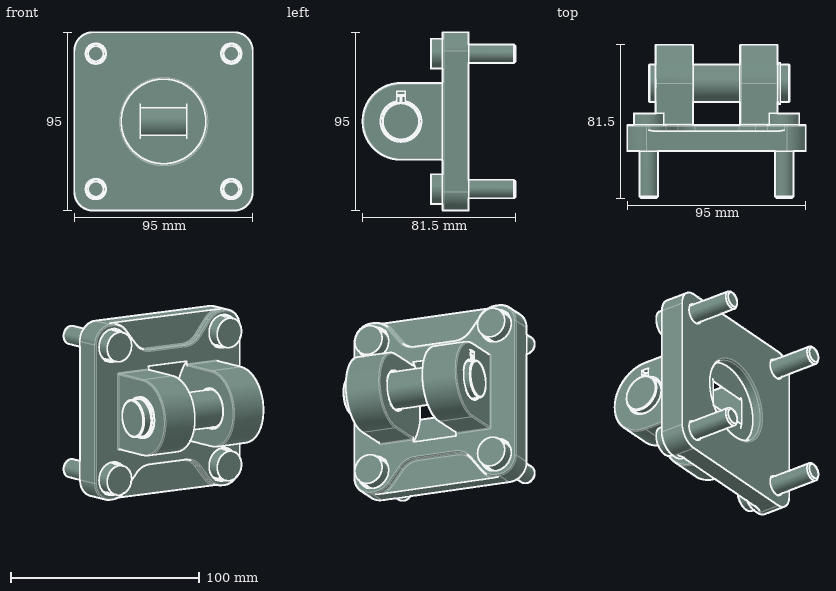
import cadquery as cq
import math

plate_side = 95.0
plate_thickness = 14.0
corner_radius = 10.1
edge_round = 0.7

axis_y = 36.0
lug_radius = 20.5
lug_gap = 24.9
lug_width = 20.0
lug_inner_x = lug_gap / 2
lug_outer_x = lug_inner_x + lug_width
lug_round = 0.6
lug_foot_fillet = 0.5
pin_hole_chamfer = 0.95

recess_diameter = 45.0
recess_depth = 5.5
recess_round = 0.95
window_height = 14.7
clearance_radius = math.hypot(axis_y - recess_depth, window_height / 2)

bolt_offset = 36.0
bolt_diameter = 10.0
bolt_hole_diameter = 11.0
counterbore_diameter = 18.0
head_diameter = 16.0
head_top_y = 20.0
bolt_tip_y = -25.0
bolt_chamfer = 0.95

pocket_floor_y = 10.45
boss_radius = plate_side / 2 - bolt_offset
flank_angle = math.radians(51)
pocket_half_length = 11.7
pocket_overrun = 9.5

pin_diameter = 20.0
pin_left_x = -36.0
pin_right_x = 38.9
pin_chamfer = 0.5
collar_diameter = 22.0
collar_width = 1.2
collar_gap = 0.2

spring_pin_diameter = 4.4
spring_pin_bore = 1.8
spring_pin_slit = 0.8
spring_pin_x = -30.5
spring_pin_top = 14.1
spring_pin_bottom = 0.0
spring_pin_chamfer = 0.8
notch_top = 16.1
notch_inner_x = spring_pin_x + spring_pin_diameter / 2

smallest_circle = cq.selectors.RadiusNthSelector(0)
largest_circle = cq.selectors.RadiusNthSelector(-1)
select_margin = 0.1

bolt_positions = [(x, z) for x in (-bolt_offset, bolt_offset) for z in (-bolt_offset, bolt_offset)]


def cylinder_y(diameter, y_start, y_end, x=0, z=0):
    base = cq.Plane(origin=(x, y_start, z), xDir=(1, 0, 0), normal=(0, 1, 0))
    return cq.Workplane(base).circle(diameter / 2).extrude(y_end - y_start)


def cylinder_x(diameter, x_start, x_end):
    base = cq.Plane(origin=(x_start, axis_y, 0), xDir=(0, 1, 0), normal=(1, 0, 0))
    return cq.Workplane(base).circle(diameter / 2).extrude(x_end - x_start)


def cylinder_z(diameter, z_start, z_end):
    base = cq.Workplane("XY", origin=(spring_pin_x, axis_y, z_start))
    return base.circle(diameter / 2).extrude(z_end - z_start)


def box(x_range, y_range, z_range):
    size = [high - low for low, high in (x_range, y_range, z_range)]
    corner = (x_range[0], y_range[0], z_range[0])
    return cq.Workplane("XY").box(*size, centered=False).translate(corner)


def make_pocket():
    """Cutter for the upper pocket: round bosses, sloping flanks, round inner corners."""
    half_side = plate_side / 2
    outer_x = half_side + pocket_overrun
    outer_z = half_side + pocket_overrun
    cutter_top_y = plate_thickness + pocket_overrun
    sine, cosine = math.sin(flank_angle), math.cos(flank_angle)
    mid_sine, mid_cosine = math.sin(flank_angle / 2), math.cos(flank_angle / 2)

    boss_mid = (bolt_offset - boss_radius * mid_sine, bolt_offset + boss_radius * mid_cosine)
    boss_end = (bolt_offset - boss_radius * sine, bolt_offset + boss_radius * cosine)

    flank_end_x = pocket_half_length + boss_radius * sine
    flank_end_z = boss_end[1] - (boss_end[0] - flank_end_x) * math.tan(flank_angle)
    flank_end = (flank_end_x, flank_end_z)
    corner_center_z = flank_end_z + boss_radius * cosine
    corner_mid = (pocket_half_length + boss_radius * mid_sine, corner_center_z - boss_radius * mid_cosine)
    corner_end = (pocket_half_length, corner_center_z - boss_radius)

    def mirrored(point):
        return (-point[0], point[1])

    outline = (
        cq.Workplane("XZ", origin=(0, cutter_top_y, 0))
        .moveTo(outer_x, half_side)
        .lineTo(bolt_offset, half_side)
        .threePointArc(boss_mid, boss_end)
        .lineTo(*flank_end)
        .threePointArc(corner_mid, corner_end)
        .lineTo(*mirrored(corner_end))
        .threePointArc(mirrored(corner_mid), mirrored(flank_end))
        .lineTo(*mirrored(boss_end))
        .threePointArc(mirrored(boss_mid), (-bolt_offset, half_side))
        .lineTo(-outer_x, half_side)
        .lineTo(-outer_x, outer_z)
        .lineTo(outer_x, outer_z)
        .close()
    )
    pocket = outline.extrude(cutter_top_y - pocket_floor_y)
    return pocket.faces("<Y").edges().fillet(edge_round)


def make_plate():
    """Square plate with rounded corners, a pocket at top and bottom, and a rounded back edge."""
    half = plate_side / 2
    plate = box((-half, half), (0, plate_thickness), (-half, half)).edges("|Y").fillet(corner_radius)
    pocket = make_pocket()
    plate = plate.cut(pocket).cut(pocket.mirror("XY"))
    return plate.faces(">Y").edges().fillet(edge_round)


def make_lug(left_x):
    """Round-ended lug from left_x toward +X, bored for the clevis pin."""
    side = cq.Plane(origin=(left_x, 0, 0), xDir=(0, 1, 0), normal=(1, 0, 0))
    lug = (
        cq.Workplane(side)
        .moveTo(plate_thickness, -lug_radius)
        .lineTo(axis_y, -lug_radius)
        .threePointArc((axis_y + lug_radius, 0), (axis_y, lug_radius))
        .lineTo(plate_thickness, lug_radius)
        .close()
        .extrude(lug_width)
    )
    lug = lug.faces("<X or >X").edges("not <Y").fillet(lug_round)
    lug = lug.cut(cylinder_x(pin_diameter, left_x, left_x + lug_width))
    hole_rims = lug.faces("<X or >X").edges("%CIRCLE").edges(smallest_circle)
    return hole_rims.chamfer(pin_hole_chamfer)


def make_bracket():
    """Plate and lugs in one piece, with the recess, rod-eye clearance, bolt seats and pin notch."""
    bracket = make_plate()
    for left_x in (lug_inner_x, -lug_outer_x):
        bracket = bracket.union(make_lug(left_x))
    foot_edges = cq.selectors.BoxSelector(
        (-lug_outer_x - select_margin, plate_thickness - select_margin, -lug_radius - select_margin),
        (lug_outer_x + select_margin, plate_thickness + select_margin, lug_radius + select_margin),
    )
    bracket = bracket.edges(foot_edges).fillet(lug_foot_fillet)

    recess = cylinder_y(recess_diameter, 0, recess_depth)
    bracket = bracket.cut(recess)
    rim = bracket.faces("<Y").edges("%CIRCLE").edges(largest_circle)
    bracket = rim.fillet(recess_round)
    bracket = bracket.cut(cylinder_x(2 * clearance_radius, -lug_inner_x, lug_inner_x))

    for x, z in bolt_positions:
        bracket = bracket.cut(cylinder_y(bolt_hole_diameter, 0, plate_thickness, x, z))
        bracket = bracket.cut(cylinder_y(counterbore_diameter, pocket_floor_y, plate_thickness, x, z))

    half_width = spring_pin_diameter / 2
    notch = box((-lug_outer_x, notch_inner_x), (axis_y - half_width, axis_y + half_width), (0, notch_top))
    return bracket.cut(notch)


def make_bolt(x, z):
    """Cap bolt whose head sits in the counterbore and whose shank points toward -Y."""
    shank = cylinder_y(bolt_diameter, bolt_tip_y, pocket_floor_y, x, z)
    shank = shank.faces("<Y").chamfer(bolt_chamfer)
    return shank.union(cylinder_y(head_diameter, pocket_floor_y, head_top_y, x, z))


def make_clevis_pin():
    """Pin with a collar at the right lug and a radial hole for the spring pin."""
    pin = cylinder_x(pin_diameter, pin_left_x, pin_right_x).faces("<X or >X").chamfer(pin_chamfer)
    collar_x = lug_outer_x + collar_gap
    pin = pin.union(cylinder_x(collar_diameter, collar_x, collar_x + collar_width))
    return pin.cut(cylinder_z(spring_pin_diameter, spring_pin_bottom, spring_pin_top))


def make_spring_pin():
    """Tube along Z, slit lengthwise on its -X side."""
    tube = cylinder_z(spring_pin_diameter, spring_pin_bottom, spring_pin_top)
    tube = tube.faces(">Z").chamfer(spring_pin_chamfer)
    tube = tube.cut(cylinder_z(spring_pin_bore, spring_pin_bottom, spring_pin_top))
    slit = box(
        (spring_pin_x - spring_pin_diameter, spring_pin_x),
        (axis_y - spring_pin_slit / 2, axis_y + spring_pin_slit / 2),
        (spring_pin_bottom, spring_pin_top),
    )
    return tube.cut(slit)


bracket = make_bracket()
clevis_pin = make_clevis_pin()
spring_pin = make_spring_pin()
bolts = [make_bolt(x, z) for x, z in bolt_positions]

result = cq.Compound.makeCompound(
    [bracket.val(), clevis_pin.val(), spring_pin.val(), *[bolt.val() for bolt in bolts]]
)